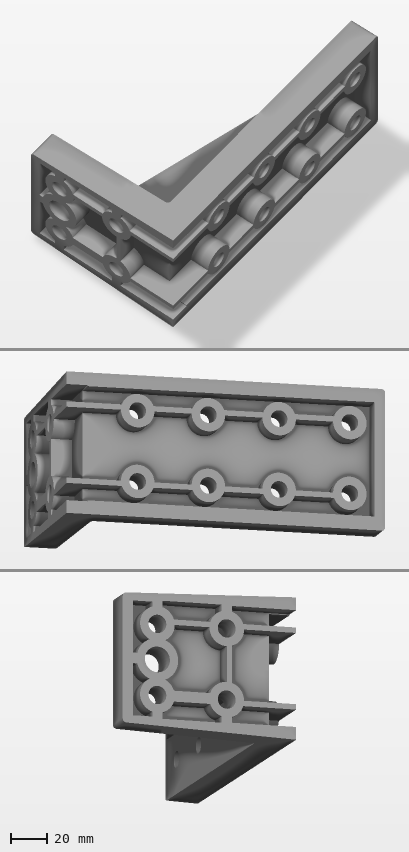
import cadquery as cq
import math

WIDTH_X = 99.9
LENGTH_Y = 180.0
HEIGHT_Z = 80.0
TIP_HEIGHT = 72.9
PLATE_THICKNESS = 18.0
FOOT_ROOT_THICKNESS = 18.4
FOOT_TIP_THICKNESS = 17.8
POCKET_DEPTH = 11.9
WALL = 6.0
THIN_RIB = 3.0
CORNER_RADIUS = 2.2
INNER_FILLET = 2.0

PITCH = 40.0
PLATE_ROWS = 4
EDGE_DISTANCE = PITCH / 2
FOOT_BOSS_DIAMETER = 20.0
PLATE_BOSS_DIAMETER = 18.9
FOOT_HOLE_MOUTH = 10.3
FOOT_HOLE_END = 9.0
PLATE_HOLE_DIAMETER = 9.4
CENTRE_BOSS_DIAMETER = 24.0
CENTRE_HOLE_MOUTH = 14.4
CENTRE_HOLE_END = 13.0

TIP_CELL_HALF = 32.2
MIDDLE_CELL_HALF = 33.1
ROOT_CELL_HALF = 32.8
PLATE_POCKET_HALF = 32.2

GUSSET_THICKNESS = 10.5
GUSSET_FOOT_X = 40.3
GUSSET_END_GAP = 1.6

PLATE_X = WIDTH_X - PLATE_THICKNESS
PLATE_FLOOR_X = WIDTH_X - POCKET_DEPTH
FOOT_HOLE_XS = (EDGE_DISTANCE, EDGE_DISTANCE + PITCH)
HOLE_ZS = (-PITCH / 2, PITCH / 2)
PLATE_HOLE_YS = [LENGTH_Y - EDGE_DISTANCE - i * PITCH for i in range(PLATE_ROWS)]

X_AXIS = cq.Vector(1, 0, 0)
Y_AXIS = cq.Vector(0, 1, 0)


def box(x_range, y_range, z_range):
    """Box spanning the given (low, high) ranges."""
    spans = [high - low for low, high in (x_range, y_range, z_range)]
    corner = (x_range[0], y_range[0], z_range[0])
    return cq.Workplane("XY").box(*spans, centered=False).translate(corner)


def foot_boss(x, z, diameter):
    """Boss cylinder along Y, from the open face of the foot to its floor."""
    return cq.Workplane(cq.Solid.makeCylinder(diameter / 2, POCKET_DEPTH, cq.Vector(x, 0, z), Y_AXIS))


def x_cylinder(y, z, diameter, start_x):
    """Cylinder along +X from start_x to the open face of the plate."""
    length = WIDTH_X - start_x
    return cq.Workplane(cq.Solid.makeCylinder(diameter / 2, length, cq.Vector(start_x, y, z), X_AXIS))


def tapered_hole(x, z, mouth, end):
    """Cutter for a foot hole that narrows from the open face inwards."""
    return cq.Workplane(
        cq.Solid.makeCone(mouth / 2, end / 2, FOOT_ROOT_THICKNESS, cq.Vector(x, 0, z), Y_AXIS)
    )


def near(x, y, z):
    """Selector for the edge closest to a point."""
    return cq.selectors.NearestToPointSelector((x, y, z))


def side_rib(z_sign):
    """Z range of the thin rib whose inner face passes through a hole row."""
    return tuple(sorted((z_sign * PITCH / 2, z_sign * (PITCH / 2 + THIN_RIB))))


def make_shell():
    """L-shaped block with tapered sides, rounded ends and the gusset."""
    block = (
        cq.Workplane("XY")
        .moveTo(0, 0)
        .lineTo(WIDTH_X, 0)
        .lineTo(WIDTH_X, LENGTH_Y)
        .lineTo(PLATE_X, LENGTH_Y)
        .lineTo(PLATE_X, FOOT_ROOT_THICKNESS)
        .lineTo(0, FOOT_TIP_THICKNESS)
        .close()
        .extrude(HEIGHT_Z / 2, both=True)
    )
    gusset = (
        cq.Workplane("XY")
        .moveTo(GUSSET_FOOT_X, FOOT_TIP_THICKNESS)
        .lineTo(PLATE_X, LENGTH_Y - GUSSET_END_GAP)
        .lineTo(PLATE_FLOOR_X, LENGTH_Y - GUSSET_END_GAP)
        .lineTo(PLATE_FLOOR_X, FOOT_TIP_THICKNESS)
        .close()
        .extrude(GUSSET_THICKNESS / 2, both=True)
    )
    envelope = (
        cq.Workplane("XZ")
        .moveTo(0, -TIP_HEIGHT / 2)
        .lineTo(WIDTH_X, -HEIGHT_Z / 2)
        .lineTo(WIDTH_X, HEIGHT_Z / 2)
        .lineTo(0, TIP_HEIGHT / 2)
        .close()
        .extrude(-LENGTH_Y)
        .edges("|Y and <X")
        .fillet(CORNER_RADIUS)
    )
    block = block.edges(near(PLATE_X, FOOT_ROOT_THICKNESS, 0)).fillet(INNER_FILLET)
    shell = block.intersect(envelope)
    shell = shell.faces(">Y").edges("<Z or >Z").fillet(CORNER_RADIUS)
    shell = shell.union(gusset)
    gusset_foot = shell.edges("|Z").edges(near(GUSSET_FOOT_X, FOOT_ROOT_THICKNESS, 0))
    return gusset_foot.fillet(INNER_FILLET)


def foot_recess():
    """Volume removed from the foot, leaving its bosses and ribs."""
    depth = (0, POCKET_DEPTH)
    stub_edges = [(x - WALL / 2, x + WALL / 2) for x in FOOT_HOLE_XS]
    first_stub, second_stub = stub_edges
    tip_x = (WALL, first_stub[1])
    middle_x = (first_stub[0], second_stub[1])
    root_x = (second_stub[0], WIDTH_X)
    recess = box(tip_x, depth, (-TIP_CELL_HALF, TIP_CELL_HALF))
    recess = recess.union(box(middle_x, depth, (-MIDDLE_CELL_HALF, MIDDLE_CELL_HALF)))
    recess = recess.union(box(root_x, depth, (-ROOT_CELL_HALF, ROOT_CELL_HALF)))

    for x, stub in zip(FOOT_HOLE_XS, stub_edges):
        for z in HOLE_ZS:
            recess = recess.cut(foot_boss(x, z, FOOT_BOSS_DIAMETER))
            stub_z = tuple(sorted((z, math.copysign(HEIGHT_Z / 2, z))))
            recess = recess.cut(box(stub, depth, stub_z))
    recess = recess.cut(foot_boss(FOOT_HOLE_XS[0], 0, CENTRE_BOSS_DIAMETER))
    recess = recess.cut(box((0, FOOT_HOLE_XS[0]), depth, (-WALL / 2, WALL / 2)))

    for sign in (-1, 1):
        recess = recess.cut(box((FOOT_HOLE_XS[0], WIDTH_X), depth, side_rib(sign)))
    low_rib = side_rib(-1)[0]
    recess = recess.cut(box(FOOT_HOLE_XS, depth, (low_rib, low_rib + 2 * THIN_RIB)))
    cross_rib = (FOOT_HOLE_XS[1], second_stub[1])
    return recess.cut(box(cross_rib, depth, HOLE_ZS))


def plate_recess():
    """Volume removed from the back of the plate, leaving its bosses and ribs."""
    depth = (PLATE_FLOOR_X, WIDTH_X)
    half = PLATE_POCKET_HALF
    recess = box(depth, (0, LENGTH_Y - WALL), (-half, half))
    for y in PLATE_HOLE_YS:
        for z in HOLE_ZS:
            recess = recess.cut(x_cylinder(y, z, PLATE_BOSS_DIAMETER, PLATE_FLOOR_X))
    for sign in (-1, 1):
        recess = recess.cut(box(depth, (0, PLATE_HOLE_YS[0]), side_rib(sign)))
    return recess


def drill_holes(body):
    """Tapered holes through the foot and straight holes through the plate."""
    for z in HOLE_ZS:
        for x in FOOT_HOLE_XS:
            body = body.cut(tapered_hole(x, z, FOOT_HOLE_MOUTH, FOOT_HOLE_END))
        for y in PLATE_HOLE_YS:
            body = body.cut(x_cylinder(y, z, PLATE_HOLE_DIAMETER, PLATE_X))
    return body.cut(tapered_hole(FOOT_HOLE_XS[0], 0, CENTRE_HOLE_MOUTH, CENTRE_HOLE_END))


body = make_shell().cut(foot_recess()).cut(plate_recess())
result = drill_holes(body)